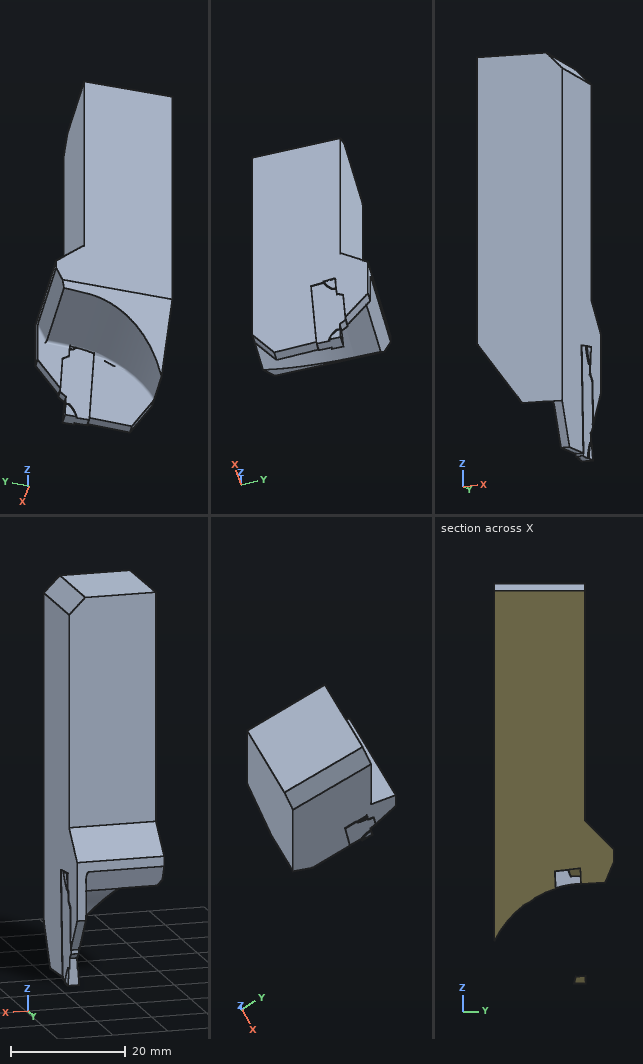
import cadquery as cq
import math

height = 70.0
holder_right = 15.9
shank_depth = 15.9
head_depth = 20.9
head_top = 23.5
shoulder_top = head_top + head_depth - shank_depth
top_chamfer = 2.95
side_draft = 0.15
slope_top = 19.0
slope_bottom = 7.7
slope_end_x = 8.5
jaw_nose_z = 12.95
jaw_tip = (16.7, 6.5)

blade_thickness = 1.6
blade_left = holder_right - blade_thickness
blade_fillet = 0.55
blade_heel = (4.0, 0.15)
blade_toe = (11.6, 0.5)
clearance_side_z = 21.7
clearance_corner = (19.3, 17.85)
clearance_arc_start = (14.7, 17.6)
clearance_arc_middle = (5.3, 14.0)

insert_width = 2.0
insert_body_width = 1.4
insert_mid_x = holder_right - blade_thickness / 2
insert_mid_y = 11.1
insert_tilt = 2.9
half_length = 10.1
half_seat = 9.8
end_height = 4.4
middle_height = 5.5
half_hump_base = 5.2
half_hump_top = 4.2
tip_length = 3.1
tip_depth = 2.1
tip_heel_depth = 0.6
tip_rear_width = 1.7
tip_bulge = 0.15
tilt = math.radians(insert_tilt)
insert_mid_z = half_length * math.cos(tilt) - end_height * math.sin(tilt)

selection_gap = 0.1
margin = 3.5


def extrude_yz(sketch, x_start, x_end):
    """Extrude a YZ outline between two X positions."""
    return sketch.extrude(x_end - x_start).translate((x_start, 0, 0))


def make_holder_blank():
    """Side outline of the shank, head and blade."""
    outline = (
        cq.Workplane("YZ")
        .polyline([
            (0, height), (shank_depth, height), (shank_depth, shoulder_top),
            (head_depth, head_top), (head_depth, jaw_nose_z), jaw_tip,
            blade_toe, blade_heel, (0, slope_bottom),
        ])
        .close()
    )
    return extrude_yz(outline, 0, holder_right)


def make_top_chamfer():
    """Wedge removed from the upper right edge."""
    return (
        cq.Workplane("XZ")
        .polyline([
            (holder_right - top_chamfer, height), (holder_right, height),
            (holder_right, height - top_chamfer),
        ])
        .close()
        .extrude(-head_depth)
    )


def make_side_taper():
    """Thin wedge removed from the left side."""
    return (
        cq.Workplane("XY")
        .polyline([(0, 0), (side_draft, 0), (0, head_depth)])
        .close()
        .extrude(height)
    )


def make_slope_cut():
    """Corner removed below the left side."""
    return (
        cq.Workplane("XZ")
        .polyline([(0, slope_top), (slope_end_x, slope_bottom), (slope_end_x, 0), (0, 0)])
        .close()
        .extrude(-head_depth)
    )


def make_clearance():
    """Space beside the blade, with a rounded root along the blade face."""
    outline = (
        cq.Workplane("YZ")
        .moveTo(head_depth + margin, clearance_side_z)
        .lineTo(head_depth, clearance_side_z)
        .lineTo(*clearance_corner)
        .lineTo(*clearance_arc_start)
        .threePointArc(clearance_arc_middle, (0, slope_bottom))
        .lineTo(-margin, slope_bottom)
        .lineTo(-margin, -margin)
        .lineTo(head_depth + margin, -margin)
        .close()
    )
    return extrude_yz(outline, -margin, blade_left)


def round_blade_root(holder):
    """Fillet the inside edges where the clearance meets the blade."""
    root = cq.selectors.BoxSelector(
        (blade_left - selection_gap, -selection_gap, slope_bottom - selection_gap),
        (blade_left + selection_gap, head_depth + selection_gap, clearance_side_z + selection_gap),
        boundingbox=True,
    )
    root_edges = holder.edges(root).filter(
        lambda edge: edge.Center().z > slope_bottom + selection_gap
        and edge.Center().y < head_depth - selection_gap
    )
    return holder.newObject(root_edges.vals()).fillet(blade_fillet)


def place_insert(shape):
    """Move a shape from the middle of the insert seat into the holder."""
    return shape.rotate((0, 0, 0), (1, 0, 0), insert_tilt).translate(
        (insert_mid_x, insert_mid_y, insert_mid_z)
    )


def make_insert_profile(width):
    """Insert side outline, centred on its seat, with a hump between its ends."""
    outline = (
        cq.Workplane("YZ")
        .polyline([
            (0, -half_seat), (end_height, -half_length),
            (end_height, -half_hump_base), (middle_height, -half_hump_top),
            (middle_height, half_hump_top), (end_height, half_hump_base),
            (end_height, half_length), (0, half_seat),
        ])
        .close()
    )
    return extrude_yz(outline, -width / 2, width / 2)


def make_insert_tip():
    """Cutting tip that narrows towards its rear, with a curved underside."""
    front = -half_length
    rear = front + tip_length
    wide = insert_width / 2
    narrow = tip_rear_width / 2
    plan = (
        cq.Workplane("XZ")
        .polyline([(-wide, front), (wide, front), (narrow, rear), (-narrow, rear)])
        .close()
        .extrude(-end_height)
    )
    heel = (end_height - tip_heel_depth, rear)
    end_slope = (half_length - half_seat) / end_height
    toe = (end_height - tip_depth, front + tip_depth * end_slope)
    bow = ((heel[0] + toe[0]) / 2 - tip_bulge, (heel[1] + toe[1]) / 2 + tip_bulge)
    side = (
        cq.Workplane("YZ")
        .moveTo(end_height, front)
        .lineTo(end_height, rear)
        .lineTo(*heel)
        .threePointArc(bow, toe)
        .close()
    )
    return plan.intersect(extrude_yz(side, -wide, wide))


def make_insert():
    """Slim body with a cutting tip at each end."""
    insert = make_insert_profile(insert_body_width)
    lower_tip = make_insert_tip()
    for tip in (lower_tip, lower_tip.mirror("XY")):
        insert = insert.union(tip)
    return place_insert(insert)


def make_holder():
    """Holder with a curved clearance beside the blade and a slot for the insert."""
    holder = make_holder_blank().cut(make_clearance())
    holder = round_blade_root(holder)
    holder = holder.cut(make_slope_cut())
    holder = holder.cut(make_side_taper())
    holder = holder.cut(make_top_chamfer())
    return holder.cut(place_insert(make_insert_profile(insert_width)))


holder = make_holder()
insert = make_insert()
result = cq.Compound.makeCompound([holder.val(), insert.val()])